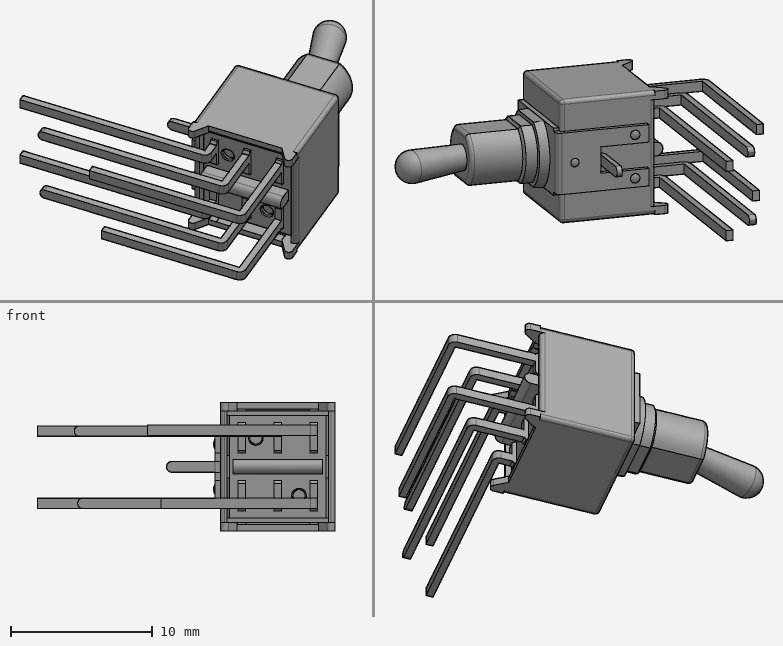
import cadquery as cq
import math


METAL = 0.4
COVER_WIDTH = 8.1
COVER_HEIGHT = 9.1
COVER_BACK = -METAL
COVER_FRONT = -7.5
SIDE_WALL = 0.47
PLATE_WALL = 0.62
COVER_ROUND = 0.3
TAB_ROOT = 1.18
TAB_LENGTH = 1.05
TAB_TIP_RADIUS = 0.3
TAB_FLANK_ANGLE = 30
RELIEF_HALF_WIDTH = 2.85
RELIEF_DEPTH = 0.16
RAMP_HALF_WIDTH = 2.25

CAVITY_X = COVER_WIDTH / 2 - SIDE_WALL
CAVITY_Z = COVER_HEIGHT / 2 - PLATE_WALL
CAVITY_BACK = COVER_BACK - SIDE_WALL
BASE_FACE = -7.1
LEDGE_DROP = 0.3
LEDGE_Y = BASE_FACE + LEDGE_DROP
LEDGE_Z = 3.62
SIDE_BEVEL = 0.16
SIDE_NOTCH_HALF = 0.8
RIB_LENGTH = 6.34
RIB_RADIUS = 0.5
RIB_AXIS_Y = -7.9
DIMPLE_RADIUS = 0.43
DIMPLE_DEPTH = 0.3
DIMPLE_CHAMFER = 0.09
DIMPLE_CENTRES = [(-1.55, 2.04), (1.5, -2.04)]

LEG_HALF_WIDTH = 2.26
LEG_FRONT = -6.9
PLATE_HALF_WIDTH = 2.47
PLATE_LEFT = -3.75
PLATE_RIGHT = 3.78
BEND_RADIUS = 0.39
NOTCH_HALF_WIDTH = 0.97
NOTCH_BACK = -3.3
PIN_WIDTH = 0.78
PIN_TIP_X = -7.87
PIN_BEND_RADIUS = 0.38
BUMP_HEIGHT = 0.09
BUMPS = [(-1.35, 0.0, 0.31), (-5.87, 1.6, 0.35), (-5.87, -1.6, 0.35)]

FLANGE_RADIUS = 2.9
FLANGE_FLAT = 2.4
FLANGE_TOP = 0.75
FLANGE_DRAFT = 5
COLLAR_RADIUS = 2.51
COLLAR_FLAT = 2.12
COLLAR_TOP = 1.63
BARREL_RADIUS = 2.28
BARREL_FLAT = 1.9
BARREL_BOTTOM = 1.79
BARREL_TOP = 5.7
BARREL_ROUND = 0.3

LEVER_TILT = 14.5
LEVER_PIVOT_Y = 3.77
LEVER_LENGTH = 6.27
LEVER_BALL_RADIUS = 1.2
LEVER_FOOT_RADIUS = 0.83

PITCH = 2.54
TERMINAL_THICKNESS = 0.52
SHANK_WIDTH = 0.75
SHANK_Z = 2.585
TERMINAL_BEND_RADIUS = 0.5
TERMINAL_TIP_RADIUS = 0.367
BLADE_HEIGHT = 2.14
BLADE_Z = 2.05
BLADE_CHAMFER = 0.19
BLADE_PROTRUSION = 0.35
BLADE_INSERTION = 1.5
BLADE_FRONT = BASE_FACE - BLADE_PROTRUSION
BLADE_BACK = BASE_FACE + BLADE_INSERTION
TERMINALS = [
    (-1, 1, -8.78, -16.99, -0.06, False),
    (-1, -1, -8.78, -16.99, 0.0, False),
    (0, 1, -11.32, -14.38, -0.06, True),
    (0, -1, -11.53, -14.14, 0.0, True),
    (1, 1, -13.80, -9.21, 0.0, False),
    (1, -1, -13.85, -8.24, 0.0, False),
]


def block(x0, x1, y0, y1, z0, z1):
    """Box between two opposite corners."""
    return cq.Workplane("XY").box(x1 - x0, y1 - y0, z1 - z0, centered=False).translate((x0, y0, z0))


def centred_block(half_x, y0, y1, half_z):
    """Box centred on the bushing axis."""
    return block(-half_x, half_x, y0, y1, -half_z, half_z)


def flatted_round(radius, flat, y_top, height, taper=0):
    """Round bar with two flats at Z = +-flat, running down from y_top."""
    half_chord = math.sqrt(radius**2 - flat**2)
    return (
        cq.Workplane("XZ", origin=(0, y_top, 0))
        .moveTo(-half_chord, flat)
        .lineTo(half_chord, flat)
        .threePointArc((radius, 0), (half_chord, -flat))
        .lineTo(-half_chord, -flat)
        .threePointArc((-radius, 0), (-half_chord, flat))
        .close()
        .extrude(height, taper=taper)
    )


def snap_tab(side):
    """Foot at a front corner of the upper cover plate: straight outside, sloping inside, round tip."""
    outer = COVER_WIDTH / 2
    tip_y = COVER_FRONT - TAB_LENGTH
    centre_x = outer - TAB_TIP_RADIUS
    centre_y = tip_y + TAB_TIP_RADIUS
    flank = math.radians(TAB_FLANK_ANGLE)
    flank_x = centre_x - TAB_TIP_RADIUS * math.cos(flank)
    flank_y = centre_y - TAB_TIP_RADIUS * math.sin(flank)
    return (
        cq.Workplane("XY", origin=(0, 0, CAVITY_Z))
        .moveTo(side * outer, COVER_FRONT)
        .lineTo(side * outer, centre_y)
        .threePointArc((side * centre_x, tip_y), (side * flank_x, flank_y))
        .lineTo(side * (outer - TAB_ROOT), COVER_FRONT)
        .close()
        .extrude(PLATE_WALL)
    )


def edge_relief():
    """Recess with a ramped middle along the inner front edge of the upper cover plate."""
    recess = block(
        -RELIEF_HALF_WIDTH, RELIEF_HALF_WIDTH,
        COVER_FRONT, LEDGE_Y,
        CAVITY_Z, CAVITY_Z + RELIEF_DEPTH,
    )
    ramp = (
        cq.Workplane("YZ")
        .polyline([
            (COVER_FRONT, CAVITY_Z + RELIEF_DEPTH),
            (LEDGE_Y, CAVITY_Z + RELIEF_DEPTH),
            (LEDGE_Y, CAVITY_Z),
        ])
        .close()
        .extrude(RAMP_HALF_WIDTH, both=True)
    )
    return recess.cut(ramp)


def side_wall_lip(side):
    """Corner material outside the rounded front edge of a side wall."""
    outer = side * COVER_WIDTH / 2
    inner = outer - side * COVER_ROUND
    arc_back = COVER_FRONT + COVER_ROUND
    arc_offset = COVER_ROUND * math.sqrt(0.5)
    return (
        cq.Workplane("XY")
        .moveTo(outer, COVER_FRONT)
        .lineTo(outer, arc_back)
        .threePointArc((inner + side * arc_offset, arc_back - arc_offset), (inner, COVER_FRONT))
        .close()
        .extrude(CAVITY_Z, both=True)
    )


def make_cover():
    half_x = COVER_WIDTH / 2
    half_z = COVER_HEIGHT / 2
    cover = centred_block(half_x, COVER_FRONT, COVER_BACK, half_z)
    cover = cover.edges("|Y or >Y").fillet(COVER_ROUND)
    cover = cover.cut(centred_block(CAVITY_X, COVER_FRONT, CAVITY_BACK, CAVITY_Z))
    for side in (-1, 1):
        cover = cover.cut(side_wall_lip(side))
    relief = edge_relief()
    cover = cover.cut(relief).cut(relief.mirror("XY"))
    for side in (-1, 1):
        tab = snap_tab(side)
        cover = cover.union(tab).union(tab.mirror("XY"))
    return cover


def make_base():
    base = centred_block(CAVITY_X, LEDGE_Y, CAVITY_BACK, CAVITY_Z)
    raised_face = (
        cq.Workplane("XY")
        .polyline([
            (-CAVITY_X, LEDGE_Y),
            (-CAVITY_X + SIDE_BEVEL, BASE_FACE),
            (CAVITY_X - SIDE_BEVEL, BASE_FACE),
            (CAVITY_X, LEDGE_Y),
        ])
        .close()
        .extrude(LEDGE_Z, both=True)
    )
    base = base.union(raised_face)
    for side in (-1, 1):
        notch = cq.Workplane("XY").box(2 * SIDE_BEVEL, 2 * LEDGE_DROP, 2 * SIDE_NOTCH_HALF)
        base = base.cut(notch.translate((side * CAVITY_X, BASE_FACE, 0)))

    rib = centred_block(RIB_LENGTH / 2, RIB_AXIS_Y, LEDGE_Y, RIB_RADIUS)
    rib_nose = (
        cq.Workplane("YZ")
        .center(RIB_AXIS_Y, 0)
        .circle(RIB_RADIUS)
        .extrude(RIB_LENGTH / 2, both=True)
    )
    base = base.union(rib).union(rib_nose)

    dimple = cq.Workplane("XZ").circle(DIMPLE_RADIUS).extrude(-DIMPLE_DEPTH)
    mouth_radius = DIMPLE_RADIUS + DIMPLE_CHAMFER
    mouth = cq.Workplane("XZ").circle(mouth_radius).extrude(-DIMPLE_CHAMFER, taper=45)
    dimple = dimple.union(mouth)
    for x, z in DIMPLE_CENTRES:
        base = base.cut(dimple.translate((x, BASE_FACE, z)))
    return base


def mounting_pin():
    """Lug bent out of the bracket leg at the end of its notch, with a round tip."""
    leg_inner = -COVER_WIDTH / 2
    half = PIN_WIDTH / 2
    shank = block(PIN_TIP_X + half, leg_inner, NOTCH_BACK - METAL, NOTCH_BACK, -half, half)
    shank = shank.edges(">X and <Y").fillet(PIN_BEND_RADIUS)
    tip = (
        cq.Workplane("XZ", origin=(PIN_TIP_X + half, NOTCH_BACK, 0))
        .circle(half)
        .extrude(METAL)
    )
    return shank.union(tip)


def make_bracket():
    leg_inner = -COVER_WIDTH / 2
    leg_outer = leg_inner - METAL
    bent_strip = block(leg_outer, PLATE_RIGHT, LEG_FRONT, 0, -LEG_HALF_WIDTH, LEG_HALF_WIDTH)
    bent_strip = bent_strip.edges("<X and >Y").fillet(BEND_RADIUS)
    inside = block(leg_inner, PLATE_RIGHT, LEG_FRONT, COVER_BACK, -LEG_HALF_WIDTH, LEG_HALF_WIDTH)
    notch = block(leg_outer, leg_inner, LEG_FRONT, NOTCH_BACK, -NOTCH_HALF_WIDTH, NOTCH_HALF_WIDTH)
    bracket = bent_strip.cut(inside).cut(notch)
    bracket = bracket.union(
        block(PLATE_LEFT, PLATE_RIGHT, COVER_BACK, 0, -PLATE_HALF_WIDTH, PLATE_HALF_WIDTH)
    )
    bracket = bracket.union(mounting_pin())

    bump_zone = block(
        leg_outer - METAL, leg_outer + METAL / 2,
        LEG_FRONT, 0,
        -LEG_HALF_WIDTH, LEG_HALF_WIDTH,
    )
    for y, z, radius in BUMPS:
        ball_radius = (radius**2 + BUMP_HEIGHT**2) / (2 * BUMP_HEIGHT)
        ball = cq.Workplane("XY").sphere(ball_radius)
        ball = ball.translate((leg_outer - BUMP_HEIGHT + ball_radius, y, z))
        bracket = bracket.union(ball.intersect(bump_zone))

    shoulder_height = BARREL_BOTTOM - COLLAR_TOP
    shoulder_angle = math.degrees(math.atan((COLLAR_RADIUS - BARREL_RADIUS) / shoulder_height))
    barrel = flatted_round(BARREL_RADIUS, BARREL_FLAT, BARREL_TOP, BARREL_TOP - BARREL_BOTTOM)
    barrel = barrel.faces(">Y").edges().fillet(BARREL_ROUND)
    shoulder = flatted_round(
        BARREL_RADIUS, BARREL_FLAT, BARREL_BOTTOM, shoulder_height, -shoulder_angle
    )
    collar = flatted_round(COLLAR_RADIUS, COLLAR_FLAT, COLLAR_TOP, COLLAR_TOP)
    flange = flatted_round(FLANGE_RADIUS, FLANGE_FLAT, FLANGE_TOP, FLANGE_TOP, -FLANGE_DRAFT)
    return bracket.union(flange).union(collar).union(shoulder).union(barrel)


def make_lever():
    """Tapered bat with a ball end, tilted towards -X about a pivot inside the bushing."""
    ball_tip = LEVER_LENGTH + LEVER_BALL_RADIUS
    ball_side = LEVER_BALL_RADIUS * math.sqrt(0.5)
    lever = (
        cq.Workplane("XY")
        .lineTo(LEVER_FOOT_RADIUS, 0)
        .lineTo(LEVER_BALL_RADIUS, LEVER_LENGTH)
        .threePointArc((ball_side, LEVER_LENGTH + ball_side), (0, ball_tip))
        .close()
        .revolve(360, (0, 0, 0), (0, 1, 0))
    )
    return lever.rotate((0, 0, 0), (0, 0, 1), LEVER_TILT).translate((0, LEVER_PIVOT_Y, 0))


def make_blade(column, row):
    """Wide part of a terminal that sits in the base, with bevelled front corners."""
    blade = block(
        -TERMINAL_THICKNESS / 2, TERMINAL_THICKNESS / 2,
        BLADE_FRONT, BLADE_BACK,
        -BLADE_HEIGHT / 2, BLADE_HEIGHT / 2,
    )
    blade = blade.edges("|X and <Y").chamfer(BLADE_CHAMFER)
    return blade.translate((column * PITCH, 0, row * BLADE_Z))


def make_terminal(column, row, tail_y, tip_x, z_shift, round_tip):
    """Blade plus an L-shaped shank whose tail runs towards -X."""
    half = SHANK_WIDTH / 2
    right = column * PITCH + TERMINAL_THICKNESS / 2
    left = right - TERMINAL_THICKNESS
    tail_back = tail_y + TERMINAL_THICKNESS
    shank = block(left, right, tail_y, BLADE_BACK, -half, half)
    tail = block(tip_x, right, tail_y, tail_back, -half, half)
    wire = shank.union(tail).edges(">X and <Y").fillet(TERMINAL_BEND_RADIUS)
    if round_tip:
        wire = wire.edges("<X and |Y").fillet(TERMINAL_TIP_RADIUS)
    wire = wire.translate((0, 0, row * SHANK_Z + z_shift))
    return wire.union(make_blade(column, row))


cover = make_cover()
base = make_base()
lever = make_lever()
bracket = make_bracket().cut(lever)

terminals = []
for terminal_row in TERMINALS:
    terminal = make_terminal(*terminal_row)
    base = base.cut(terminal)
    terminals.append(terminal.val())

result = cq.Compound.makeCompound(
    [cover.val(), base.val(), bracket.val(), lever.val(), *terminals]
)